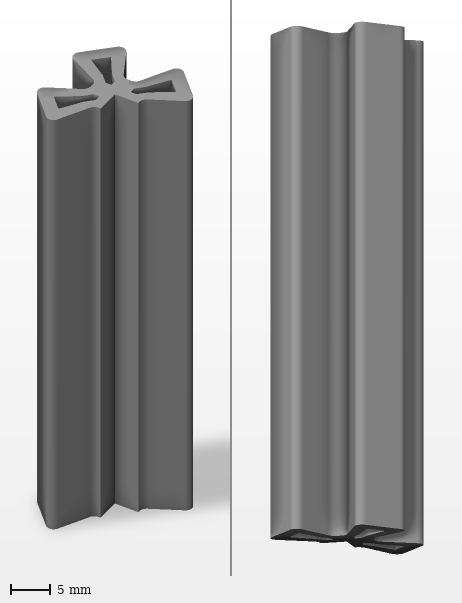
import cadquery as cq

length = 65.5
overall_width = 17.7

hub_half_width = 3.5
valley_half_width = 0.9
arm_corner_x = 4.05
arm_corner_y = 9.5
tip_radius = 1.0
valley_radius = 1.2
selection_margin = 0.65

slot_corner = 1.45
slot_offset = 0.85
flare_start = 2.55
hollow_tip_near = 4.5
hollow_tip_far = 6.35


def build_star():
    """Four solid arms around the hub, with rounded tips and valleys."""
    quarter = [
        (valley_half_width, hub_half_width),
        (arm_corner_x, arm_corner_y),
        (arm_corner_y, arm_corner_x),
        (hub_half_width, valley_half_width),
    ]
    outline = []
    for _ in range(4):
        outline += quarter
        quarter = [(y, -x) for x, y in quarter]
    star = cq.Workplane("XY").polyline(outline).close().extrude(length)

    box_reach = hub_half_width + selection_margin
    hub_box = cq.selectors.BoxSelector(
        (-box_reach, -box_reach, 0),
        (box_reach, box_reach, length),
    )
    valley_edges = star.edges("|Z").edges(hub_box)
    tip_edges = star.edges("|Z").edges(cq.selectors.InverseSelector(hub_box))
    star = valley_edges.fillet(valley_radius)
    return star.newObject(tip_edges.vals()).fillet(tip_radius)


def build_hollow():
    """Through hollow of the +X +Y arm: a narrow slot flaring outward."""
    side = [
        (slot_corner, slot_corner + slot_offset),
        (flare_start, flare_start + slot_offset),
        (hollow_tip_near, hollow_tip_far),
    ]
    mirrored_side = [(y, x) for x, y in reversed(side)]
    outline = [(slot_corner, slot_corner)] + side + mirrored_side
    return cq.Workplane("XY").polyline(outline).close().extrude(length)


missing_quadrant = cq.Workplane("XY").box(
    overall_width, overall_width, length, centered=False
).translate((0, -overall_width, 0))
result = build_star().cut(missing_quadrant)

hollow = build_hollow()
for angle in (0, 90, 180):
    result = result.cut(hollow.rotate((0, 0, 0), (0, 0, 1), angle))